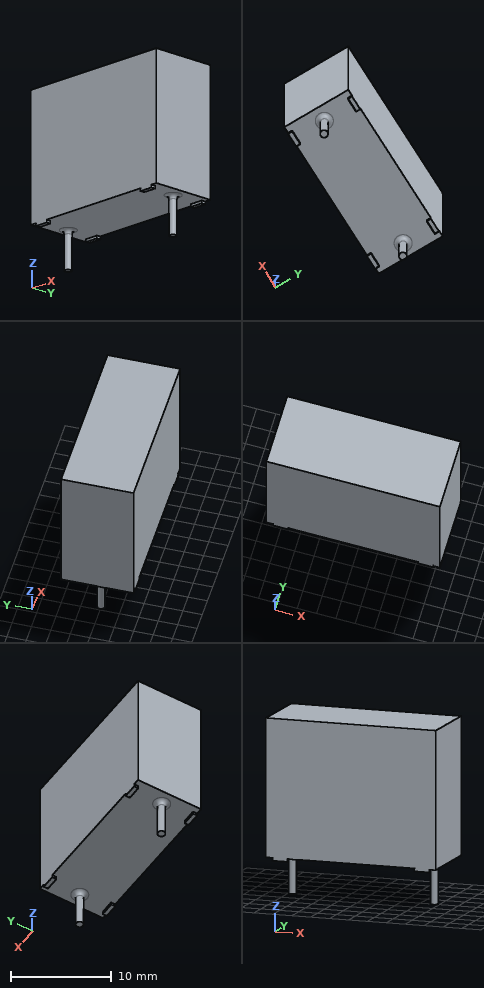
import cadquery as cq

total_height = 18.5
case_length = 18.0
case_width = 7.5
case_height = 14.2

foot_length = 1.57
foot_width = 0.5
foot_height = 0.3

pin_pitch = 15.0
pin_diameter = 0.8
pin_length = total_height - case_height
pin_fillet = 0.5

pin_positions = [(-pin_pitch / 2, 0), (pin_pitch / 2, 0)]


def make_case():
    return cq.Workplane("XY").box(case_length, case_width, case_height, centered=(True, True, False))


def make_feet():
    """Four feet, one at each side of each pin, flush with the long faces."""
    return (
        cq.Workplane("XY")
        .rarray(pin_pitch, case_width - foot_width, 2, 2)
        .rect(foot_length, foot_width)
        .extrude(-foot_height)
    )


def make_pins():
    """Two pins, each with a quarter-round flare at its root."""
    pin_radius = pin_diameter / 2
    profile = (
        cq.Workplane("XZ")
        .moveTo(0, 0)
        .lineTo(pin_radius + pin_fillet, 0)
        .radiusArc((pin_radius, -pin_fillet), -pin_fillet)
        .lineTo(pin_radius, -pin_length)
        .lineTo(0, -pin_length)
        .close()
    )
    pin = profile.revolve(360, (0, 0, 0), (0, 1, 0)).val()
    return cq.Workplane("XY").pushPoints(pin_positions).eachpoint(lambda place: pin.moved(place))


result = make_case().union(make_feet()).union(make_pins())